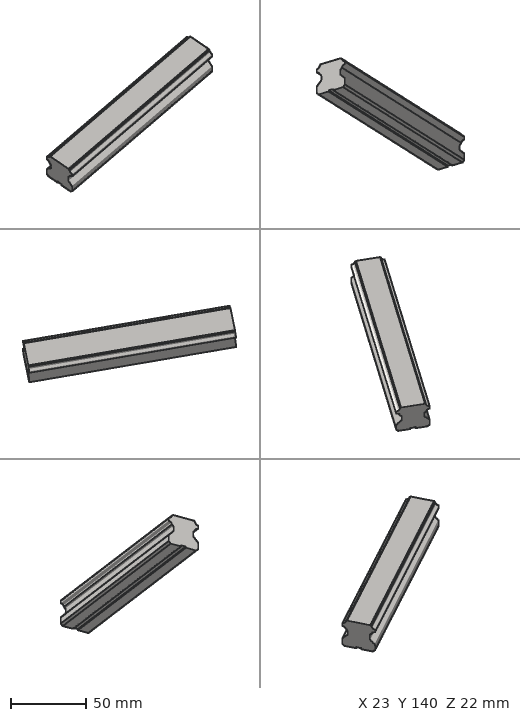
import cadquery as cq

length = 140.0
width = 23.0
height = 22.0
half_width = width / 2

top_half_width = 8.1
top_chamfer_width = 0.8
top_chamfer_height = 0.8
race_radius = 2.8
race_width = 1.7
race_upper_height = 2.0
race_lower_height = 1.8
tip_top = 18.9
tip_bottom = 16.7
lower_bevel = 0.1
tip_radius = 0.4

waist_half_width = 7.7
neck_top = 13.3
foot_top = 6.2
neck_bottom = foot_top + half_width - waist_half_width
blend_radius = 1.3
foot_chamfer_width = 1.5
foot_chamfer_height = 1.5
groove_width = 3.6
groove_depth = 0.8

plug_diameter = 11.0
plug_depth = 4.2
plug_pitch = 60.0
plug_count = 3


def round_corner(body, x, z, radius):
    """Round the lengthwise edge that passes through (x, z)."""
    edge = cq.selectors.NearestToPointSelector((x, 0, z))
    return body.edges("|Y").edges(edge).fillet(radius)


def rail_half():
    """Right half of the rail, with its flat side on the centre plane."""
    chamfer_foot = (top_half_width + top_chamfer_width, height - top_chamfer_height)
    upper_tip = (chamfer_foot[0] + race_width, chamfer_foot[1] - race_upper_height)
    lower_tip = (upper_tip[0], tip_bottom - lower_bevel)
    neck_shoulder = (lower_tip[0] - race_width, lower_tip[1] - race_lower_height)
    half_groove = groove_width / 2

    half = (
        cq.Workplane("XZ", origin=(0, length / 2, 0))
        .moveTo(0, height)
        .lineTo(top_half_width, height)
        .lineTo(*chamfer_foot)
        .radiusArc(upper_tip, -race_radius)
        .lineTo(half_width, tip_top)
        .lineTo(half_width, tip_bottom)
        .lineTo(*lower_tip)
        .radiusArc(neck_shoulder, -race_radius)
        .lineTo(waist_half_width, neck_top)
        .lineTo(waist_half_width, neck_bottom)
        .lineTo(half_width, foot_top)
        .lineTo(half_width, foot_chamfer_height)
        .lineTo(half_width - foot_chamfer_width, 0)
        .lineTo(half_groove, 0)
        .lineTo(half_groove, groove_depth)
        .lineTo(0, groove_depth)
        .close()
        .extrude(length)
    )
    blended_corners = [
        (waist_half_width, neck_top),
        (waist_half_width, neck_bottom),
        (half_width, foot_top),
    ]
    for x, z in blended_corners:
        half = round_corner(half, x, z, blend_radius)
    for z in (tip_top, tip_bottom):
        half = round_corner(half, half_width, z, tip_radius)
    return half


def plugs():
    """Row of plugs along the rail, level with its top face."""
    return (
        cq.Workplane("XY", origin=(0, 0, height - plug_depth))
        .rarray(1.4, plug_pitch, 1, plug_count)
        .circle(plug_diameter / 2)
        .extrude(plug_depth)
    )


right_half = rail_half()
rail = right_half.union(right_half.mirror("YZ"))

result = rail.union(plugs(), clean=False)